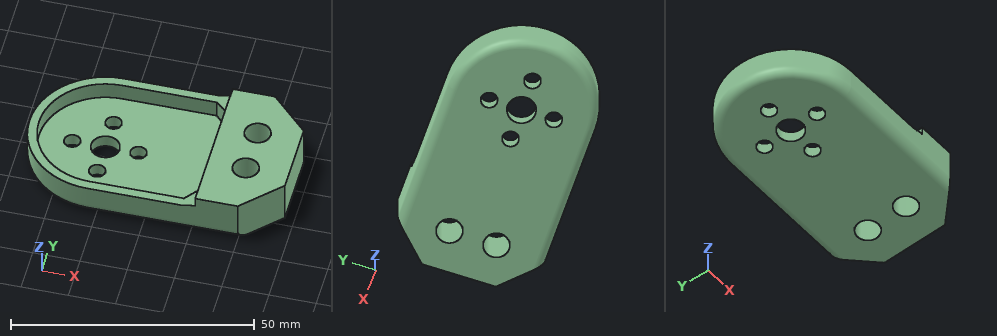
import cadquery as cq
import math

length = 56.05
width = 32.1
height = 9.65
end_radius = width / 2
bottom_fillet = 2.0

wall = 2.0
rim_height = 6.95
floor_thickness = 2.95
block_start = 39.0
gusset = 2.85
ramp_start = block_start - gusset
ramp_angle = 12.0
ramp_top = rim_height + gusset * math.tan(math.radians(ramp_angle))

corner_chamfer = 8.0
mount_hole_diameter = 5.5
mount_hole_x = 47.0
mount_hole_spacing = 10.2

center_hole_diameter = 6.0
small_hole_diameter = 3.4
small_hole_offset = 7.0


def make_body():
    """Round-ended slab with the lower edge rounded, except at the flat end."""
    slab = (
        cq.Workplane("XY")
        .moveTo(length, -end_radius)
        .lineTo(end_radius, -end_radius)
        .threePointArc((0, 0), (end_radius, end_radius))
        .lineTo(length, end_radius)
        .close()
        .extrude(height)
    )
    return slab.faces("<Z").edges("not(>X)").fillet(bottom_fillet)


def make_rim_clearance():
    """Volume above the rim and its ramps, in front of the block."""
    return (
        cq.Workplane("XZ")
        .moveTo(0, rim_height)
        .lineTo(ramp_start, rim_height)
        .lineTo(block_start, ramp_top)
        .lineTo(block_start, height)
        .lineTo(0, height)
        .close()
        .extrude(end_radius, both=True)
    )


def make_pocket():
    """Tray pocket, narrowed by 45 degree corners where it meets the block."""
    half_width = end_radius - wall
    return (
        cq.Workplane("XY", origin=(0, 0, floor_thickness))
        .moveTo(end_radius, -half_width)
        .lineTo(ramp_start, -half_width)
        .lineTo(block_start, -half_width + gusset)
        .lineTo(block_start, half_width - gusset)
        .lineTo(ramp_start, half_width)
        .lineTo(end_radius, half_width)
        .threePointArc((wall, 0), (end_radius, -half_width))
        .close()
        .extrude(height - floor_thickness)
    )


def make_corner(side):
    """Triangular cutter for one outer corner; side is +1 or -1 along Y."""
    return (
        cq.Workplane("XY")
        .moveTo(length, side * end_radius)
        .lineTo(length - corner_chamfer, side * end_radius)
        .lineTo(length, side * (end_radius - corner_chamfer))
        .close()
        .extrude(height)
    )


def make_holes(points, diameter):
    """Vertical cylinders through the full height at the given points."""
    return cq.Workplane("XY").pushPoints(points).circle(diameter / 2).extrude(height)


center_points = [(end_radius, 0)]
small_points = [
    (end_radius + small_hole_offset, 0),
    (end_radius - small_hole_offset, 0),
    (end_radius, small_hole_offset),
    (end_radius, -small_hole_offset),
]
mount_points = [(mount_hole_x, side * mount_hole_spacing / 2) for side in (1, -1)]

result = make_body().cut(make_rim_clearance()).cut(make_pocket())
for side in (1, -1):
    result = result.cut(make_corner(side))
result = result.cut(make_holes(center_points, center_hole_diameter))
result = result.cut(make_holes(small_points, small_hole_diameter))
result = result.cut(make_holes(mount_points, mount_hole_diameter))